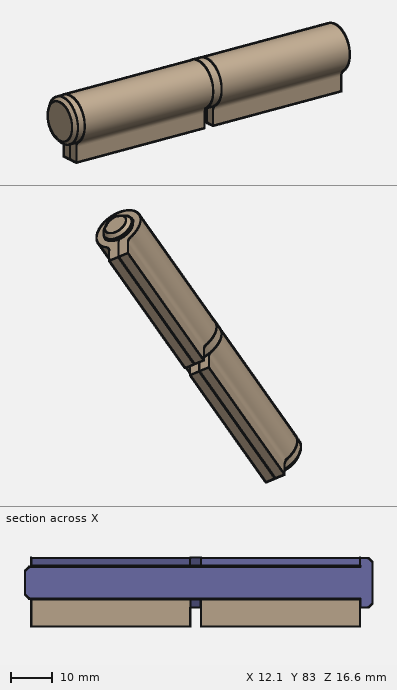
import cadquery as cq
import math


barrel_diameter = 12.0
bore_diameter = 8.0
barrel_length = 38.0
leg_thickness = 2.5
slit_width = 0.1
leg_pair_width = 2 * leg_thickness + slit_width
leg_bottom_z = -10.5
leg_blend_radius = 2.0

washer_diameter = 12.1
washer_thickness = 2.5

pin_diameter = 7.7
head_diameter = 11.9
head_length = 3.0
head_chamfer = 1.0
tip_length = 1.5
tip_chamfer = 1.0

washer_front_y = -washer_thickness / 2
washer_back_y = washer_thickness / 2
front_barrel_y = washer_front_y - barrel_length
head_front_y = front_barrel_y - head_length
pin_back_y = washer_back_y + barrel_length + tip_length


def cylinder(diameter, start_y, length):
    """Solid cylinder on the hinge axis, running from start_y toward +Y."""
    plane = cq.Plane(origin=(0, start_y, 0), xDir=(1, 0, 0), normal=(0, 1, 0))
    return cq.Workplane(plane).circle(diameter / 2).extrude(length)


def make_barrel(start_y):
    """Tube with two legs side by side below it, split by a slit that opens into the bore."""
    barrel_radius = barrel_diameter / 2
    leg_side_x = leg_pair_width / 2

    blend_center_x = leg_side_x + leg_blend_radius
    center_distance = barrel_radius + leg_blend_radius
    blend_center_z = -math.sqrt(center_distance**2 - blend_center_x**2)
    tube_tangent_x = blend_center_x * barrel_radius / center_distance
    tube_tangent_z = blend_center_z * barrel_radius / center_distance
    tangent_angle = math.atan2(-blend_center_z, -blend_center_x)
    middle_angle = (tangent_angle + math.pi) / 2
    blend_middle_x = blend_center_x + leg_blend_radius * math.cos(middle_angle)
    blend_middle_z = blend_center_z + leg_blend_radius * math.sin(middle_angle)

    outer = (
        cq.Workplane("XZ", origin=(0, start_y, 0))
        .moveTo(-leg_side_x, leg_bottom_z)
        .lineTo(leg_side_x, leg_bottom_z)
        .lineTo(leg_side_x, blend_center_z)
        .threePointArc((blend_middle_x, blend_middle_z), (tube_tangent_x, tube_tangent_z))
        .threePointArc((0, barrel_radius), (-tube_tangent_x, tube_tangent_z))
        .threePointArc((-blend_middle_x, blend_middle_z), (-leg_side_x, blend_center_z))
        .close()
        .extrude(-barrel_length)
    )
    slit = (
        cq.Workplane("XY", origin=(0, start_y, leg_bottom_z))
        .box(slit_width, barrel_length, -leg_bottom_z, centered=(True, False, False))
    )
    return outer.cut(cylinder(bore_diameter, start_y, barrel_length)).cut(slit)


def make_washer():
    """Plain ring that keeps the two barrels apart."""
    ring = cylinder(washer_diameter, washer_front_y, washer_thickness)
    return ring.cut(cylinder(bore_diameter, washer_front_y, washer_thickness))


def make_pin():
    """Headed pin through both barrels, its chamfered tip standing out at the back."""
    head = cylinder(head_diameter, head_front_y, head_length)
    head = head.faces("<Y").edges().chamfer(head_chamfer)
    shank = cylinder(pin_diameter, front_barrel_y, pin_back_y - front_barrel_y)
    shank = shank.faces(">Y").edges().chamfer(tip_chamfer)
    return head.union(shank)


barrels = [make_barrel(start_y) for start_y in (front_barrel_y, washer_back_y)]
washer = make_washer()
pin = make_pin()

result = cq.Compound.makeCompound([*[barrel.val() for barrel in barrels], washer.val(), pin.val()])